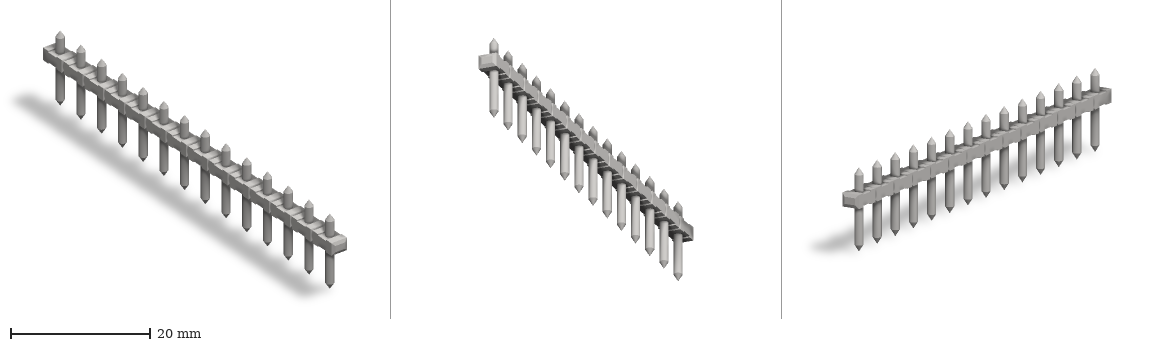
import cadquery as cq

pin_count = 14
strip_length = 70.0
pitch = strip_length / pin_count

housing_width = 2.8
housing_height = 2.1
end_bevel_run = 0.245
end_bevel_drop = 0.525
segment_body_length = pitch - 2 * end_bevel_run
end_face_width = housing_width - 2 * end_bevel_drop
end_face_height = housing_height - 2 * end_bevel_drop

recess_length = 2.0
recess_depth = 0.2

pin_diameter = 1.3
pin_length = 12.5
pin_below_housing = 7.0
tip_height = 1.05
pin_bottom = -pin_below_housing - housing_height / 2
pin_top = pin_bottom + pin_length


def make_bevel(body_end_x, direction):
    """Tapered end of a segment, narrowing along X in the given direction."""
    return (
        cq.Workplane("YZ", origin=(body_end_x, 0, 0))
        .rect(housing_width, housing_height)
        .workplane(offset=direction * end_bevel_run)
        .rect(end_face_width, end_face_height)
        .loft(combine=True)
    )


def make_segment():
    """Housing block with tapered ends and a recess above and below."""
    segment = cq.Workplane("XY").box(segment_body_length, housing_width, housing_height)
    for direction in (-1, 1):
        segment = segment.union(make_bevel(direction * segment_body_length / 2, direction))
        recess = cq.Workplane("XY").box(recess_length, housing_width, 2 * recess_depth)
        segment = segment.cut(recess.translate((0, 0, direction * housing_height / 2)))
    return segment


def make_pin():
    """Round pin with a conical point at each end."""
    radius = pin_diameter / 2
    return (
        cq.Workplane("XZ")
        .moveTo(0, pin_bottom)
        .lineTo(radius, pin_bottom + tip_height)
        .lineTo(radius, pin_top - tip_height)
        .lineTo(0, pin_top)
        .close()
        .revolve(360, (0, 0, 0), (0, 1, 0))
    )


contact = make_segment().union(make_pin())
first_x = -(strip_length - pitch) / 2
result = contact.translate((first_x, 0, 0))
for index in range(1, pin_count):
    result = result.union(contact.translate((first_x + index * pitch, 0, 0)))